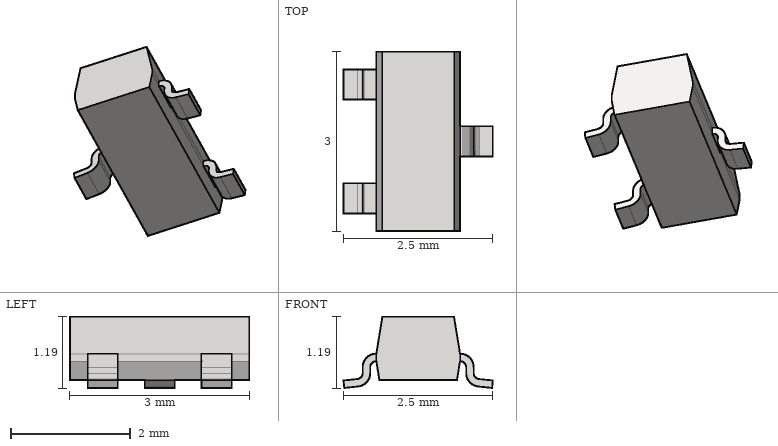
import cadquery as cq
import math

body_length = 3.0
body_width = 1.4
body_top_width = 1.2
body_base_width = 1.3
body_base_z = 0.132
body_top_z = 1.19

lead_span = 2.5
lead_width = 0.507
lead_thickness = 0.13
lead_top_z = 0.575
lead_pitch = 0.95
inner_bend_radius = 0.1
foot_angle = math.radians(6)

belt_half_width = body_width / 2
belt_base_z = lead_top_z - lead_thickness
outer_bend_radius = inner_bend_radius + lead_thickness


def polar(center, radius, angle):
    """Point at the given radius and angle (radians) around a center."""
    return (center[0] + radius * math.cos(angle), center[1] + radius * math.sin(angle))


def make_body():
    """Body with a vertical belt at lead height and drafted flanks above and below it."""
    right_side = [
        (body_base_width / 2, body_base_z),
        (belt_half_width, belt_base_z),
        (belt_half_width, lead_top_z),
        (body_top_width / 2, body_top_z),
    ]
    left_side = [(-x, z) for x, z in reversed(right_side)]
    profile = cq.Workplane("XZ").polyline(right_side + left_side).close()
    return profile.extrude(body_length / 2, both=True)


def make_lead(center_y):
    """Lead leaving the +X side: bend down, short drop, then bend out to a sloping foot."""
    upper_center = (belt_half_width, lead_top_z - outer_bend_radius)
    lower_center_x = belt_half_width + outer_bend_radius + inner_bend_radius

    toe_top = (lead_span / 2, lead_thickness * math.cos(foot_angle))
    toe_bottom = (toe_top[0] - lead_thickness * math.sin(foot_angle), 0)

    foot_end_angle = -math.pi / 2 - foot_angle
    bend_end_x = lower_center_x + outer_bend_radius * math.cos(foot_end_angle)
    bend_end_z = (toe_bottom[0] - bend_end_x) * math.tan(foot_angle)
    lower_center = (lower_center_x, bend_end_z - outer_bend_radius * math.sin(foot_end_angle))

    upper_mid_angle = math.pi / 4
    lower_mid_angle = (foot_end_angle - math.pi) / 2
    profile = (
        cq.Workplane("XZ", origin=(0, center_y, 0))
        .moveTo(belt_half_width, lead_top_z)
        .threePointArc(
            polar(upper_center, outer_bend_radius, upper_mid_angle),
            polar(upper_center, outer_bend_radius, 0),
        )
        .lineTo(*polar(lower_center, inner_bend_radius, math.pi))
        .threePointArc(
            polar(lower_center, inner_bend_radius, lower_mid_angle),
            polar(lower_center, inner_bend_radius, foot_end_angle),
        )
        .lineTo(*toe_top)
        .lineTo(*toe_bottom)
        .lineTo(*polar(lower_center, outer_bend_radius, foot_end_angle))
        .threePointArc(
            polar(lower_center, outer_bend_radius, lower_mid_angle),
            polar(lower_center, outer_bend_radius, math.pi),
        )
        .lineTo(*polar(upper_center, inner_bend_radius, 0))
        .threePointArc(
            polar(upper_center, inner_bend_radius, upper_mid_angle),
            (belt_half_width, belt_base_z),
        )
        .close()
    )
    return profile.extrude(lead_width / 2, both=True)


body = make_body()

leads = [make_lead(0)]
for y in (-lead_pitch, lead_pitch):
    leads.append(make_lead(y).rotate((0, 0, 0), (0, 0, 1), 180))

result = cq.Compound.makeCompound([body.val(), *[lead.val() for lead in leads]])